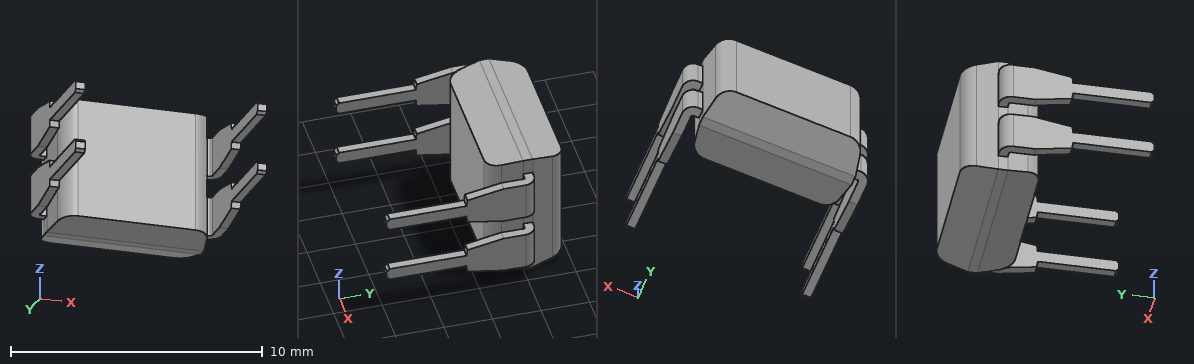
import cadquery as cq
import math

body_width = 6.6
body_depth = 3.18
body_height = 5.54
draft_angle = 11.3
corner_radius = 0.68

lead_span = 8.0
total_depth = 7.59
lead_thickness = 0.39
lead_width = 1.64
lead_pitch = 2.54
bend_outer_radius = 0.48
bend_inner_radius = bend_outer_radius - lead_thickness

taper_start = 2.78
taper_end = 4.27
taper_end_width = 1.1
shoulder_slant = 0.03
pin_width = 0.54
tip_chamfer = 0.12

half_band = lead_thickness / 2
half_depth = body_depth / 2
draft_inset = (half_depth - half_band) * math.tan(math.radians(draft_angle))
tip_y = half_depth - total_depth


def drafted_outline(plane, width, length):
    """Prism, centred on its plane, of the band with both drafted halves."""
    half = width / 2
    drafted_half = half - draft_inset
    points = [
        (-drafted_half, -half_depth),
        (drafted_half, -half_depth),
        (half, -half_band),
        (half, half_band),
        (drafted_half, half_depth),
        (-drafted_half, half_depth),
        (-half, half_band),
        (-half, -half_band),
    ]
    return cq.Workplane(plane).polyline(points).close().extrude(length / 2, both=True)


def make_body():
    side_to_side = drafted_outline("XY", body_width, body_height)
    side_to_side = side_to_side.faces("<Y or >Y").edges("|Z").fillet(corner_radius)
    end_plane = cq.Plane(origin=(0, 0, 0), xDir=(0, 0, 1), normal=(-1, 0, 0))
    end_to_end = drafted_outline(end_plane, body_height, body_width)
    return side_to_side.intersect(end_to_end)


def make_lead_row():
    """Pair of bridges across the body, bent forward at both sides."""
    strip_depth = half_band - tip_y
    strip = (
        cq.Workplane("XY")
        .center(0, (half_band + tip_y) / 2)
        .rect(lead_span, strip_depth)
        .extrude(lead_width / 2, both=True)
        .edges("|Z and >Y")
        .fillet(bend_outer_radius)
    )
    gap = (
        cq.Workplane("XY")
        .center(0, (half_band + tip_y) / 2 - lead_thickness)
        .rect(lead_span - 2 * lead_thickness, strip_depth)
        .extrude(lead_width / 2, both=True)
        .edges("|Z and >Y")
        .fillet(bend_inner_radius)
    )
    upper_edge = [
        (half_band, lead_width / 2),
        (half_depth - taper_start, lead_width / 2),
        (half_depth - taper_end, taper_end_width / 2),
        (half_depth - taper_end - shoulder_slant, pin_width / 2),
        (tip_y + tip_chamfer, pin_width / 2),
        (tip_y, pin_width / 2 - tip_chamfer),
    ]
    lower_edge = [(y, -z) for y, z in reversed(upper_edge)]
    outline = (
        cq.Workplane("YZ")
        .polyline(upper_edge + lower_edge)
        .close()
        .extrude(lead_span / 2, both=True)
    )
    return strip.cut(gap).intersect(outline)


result = make_body()
lead_row = make_lead_row()
for side in (-1, 1):
    result = result.union(lead_row.translate((0, 0, side * lead_pitch / 2)))